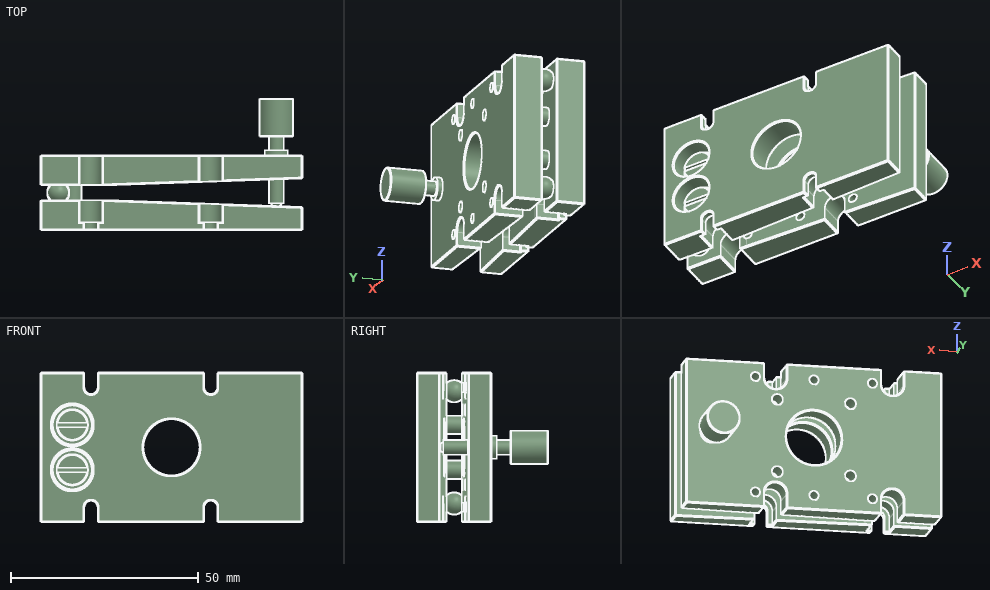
import cadquery as cq


plate_length = 70.0
plate_height = 40.0
plate_thickness = 8.0
plate_gap = 4.0
stack_thickness = 2 * plate_thickness + plate_gap
mid_plane_y = stack_thickness / 2
taper_start_x = 18.5
taper_depth = 1.8
edge_chamfer = 0.3

aperture_x = plate_length / 2
aperture_diameter = 15.0

slot_positions_x = (13.5, 45.5)
slot_center_z = 16.0
slot_width = 3.5
wide_slot_width = 6.0
wide_slot_floor_y = 2.1

clamp_x = 8.5
clamp_offset_z = 6.0
clamp_bore_diameter = 11.0
clamp_bore_depth = 6.0
clamp_head_diameter = 8.4
clamp_head_face_y = 3.1
clamp_shank_diameter = 5.0
clamp_shank_end_y = stack_thickness - plate_thickness / 2
clamp_head_chamfer = 0.25
clamp_flange_diameter = 10.4
clamp_flange_face_y = 5.0
driver_slot_width = 1.2
driver_slot_depth = 1.2

ball_x = 4.75
ball_offset_z = 15.0
ball_diameter = 6.0

adjuster_x = 63.0
adjuster_diameter = 4.0
adjuster_end_y = 7.15
adjuster_ball_diameter = 3.0
adjuster_ball_y = 7.6
collar_diameter = 6.2
collar_height = 1.4
knob_diameter = 9.0
knob_start_y = 25.0
knob_end_y = 35.15
knob_chamfer = 0.25

edge_hole_diameter = 2.5
edge_hole_spacing_x = 16.0
edge_hole_offset_z = 16.0
aperture_hole_diameter = 3.0
aperture_hole_offset = 10.0


def cylinder(x, z, diameter, y_start, y_end):
    """Cylinder along Y between two Y positions."""
    direction = cq.Vector(0, 1, 0)
    start = cq.Vector(x, y_start, z)
    return cq.Workplane(obj=cq.Solid.makeCylinder(diameter / 2, y_end - y_start, start, direction))


def ball(x, y, z, diameter):
    return cq.Workplane().sphere(diameter / 2).translate((x, y, z))


def chamfer_bore_rims(plate, x, z, diameter, y_start, y_end):
    """Chamfer the rims of a bore along Y that lie between two Y positions."""
    reach = diameter / 2
    corner_low = (x - reach, y_start, z - reach)
    corner_high = (x + reach, y_end, z + reach)
    rims = plate.edges(cq.selectors.BoxSelector(corner_low, corner_high)).edges("not(|Y)")
    return rims.chamfer(edge_chamfer)


def edge_slot(x, side, width, y_start, y_end):
    """Round-ended slot open at the upper (side = 1) or lower (side = -1) plate edge."""
    leg_length = plate_height / 2 - slot_center_z
    leg = cq.Workplane().box(width, y_end - y_start, leg_length)
    leg = leg.translate((x, (y_start + y_end) / 2, side * (slot_center_z + leg_length / 2)))
    return leg.union(cylinder(x, side * slot_center_z, width, y_start, y_end))


def tapered_plate():
    """Plate with its outer face on Y = 0 and an inner face that thins toward +X."""
    return (
        cq.Workplane("XY")
        .moveTo(0, 0)
        .lineTo(plate_length, 0)
        .lineTo(plate_length, plate_thickness - taper_depth)
        .lineTo(taper_start_x, plate_thickness)
        .lineTo(0, plate_thickness)
        .close()
        .extrude(plate_height / 2, both=True)
    )


def finish_plate(plate):
    """Chamfer the outline and slot rims of the plate, then bore the aperture and chamfer its rims."""
    plate = plate.faces("<Y or <X or >X or <Z or >Z").edges().chamfer(edge_chamfer)
    plate = plate.cut(cylinder(aperture_x, 0, aperture_diameter, 0, plate_thickness))
    return chamfer_bore_rims(plate, aperture_x, 0, aperture_diameter, -edge_chamfer, plate_thickness)


def front_plate():
    plate = tapered_plate()
    for x in slot_positions_x:
        for side in (-1, 1):
            plate = plate.cut(edge_slot(x, side, slot_width, 0, plate_thickness))
            plate = plate.cut(edge_slot(x, side, wide_slot_width, wide_slot_floor_y, plate_thickness))
    plate = finish_plate(plate)
    for z in (-clamp_offset_z, clamp_offset_z):
        plate = plate.cut(cylinder(clamp_x, z, clamp_bore_diameter, 0, clamp_bore_depth))
        plate = chamfer_bore_rims(plate, clamp_x, z, clamp_bore_diameter, -edge_chamfer, edge_chamfer)
    return plate


def rear_plate():
    plate = tapered_plate()
    for x in slot_positions_x:
        for side in (-1, 1):
            plate = plate.cut(edge_slot(x, side, wide_slot_width, 0, plate_thickness))
    plate = finish_plate(plate)
    plate = plate.mirror("XZ").translate((0, stack_thickness, 0))
    for side in (-1, 1):
        for step in (-1, 0, 1):
            x = aperture_x + step * edge_hole_spacing_x
            z = side * edge_hole_offset_z
            plate = plate.cut(cylinder(x, z, edge_hole_diameter, mid_plane_y, stack_thickness))
        for x in (aperture_x - aperture_hole_offset, aperture_x + aperture_hole_offset):
            z = side * aperture_hole_offset
            plate = plate.cut(cylinder(x, z, aperture_hole_diameter, mid_plane_y, stack_thickness))
    return plate


def clamp_screw(z):
    """Slotted screw whose head sits in the front bore and whose shank enters the rear plate."""
    head = cylinder(clamp_x, z, clamp_head_diameter, clamp_head_face_y, clamp_bore_depth)
    head = head.faces("<Y").edges().chamfer(clamp_head_chamfer)
    flange = cylinder(clamp_x, z, clamp_flange_diameter, clamp_flange_face_y, clamp_bore_depth)
    driver_slot = cq.Workplane().box(clamp_head_diameter, driver_slot_depth, driver_slot_width)
    driver_slot = driver_slot.translate((clamp_x, clamp_head_face_y + driver_slot_depth / 2, z))
    shank = cylinder(clamp_x, z, clamp_shank_diameter, clamp_bore_depth, clamp_shank_end_y)
    return head.cut(driver_slot).union(flange).union(shank)


def adjuster():
    """Knob screw through the rear plate, with its ball tip resting on the front plate."""
    tip = ball(adjuster_x, adjuster_ball_y, 0, adjuster_ball_diameter)
    shaft = cylinder(adjuster_x, 0, adjuster_diameter, adjuster_end_y, knob_start_y)
    collar = cylinder(adjuster_x, 0, collar_diameter, stack_thickness, stack_thickness + collar_height)
    knob = cylinder(adjuster_x, 0, knob_diameter, knob_start_y, knob_end_y)
    knob = knob.faces("<Y or >Y").edges().chamfer(knob_chamfer)
    return tip.union(shaft).union(collar).union(knob)


result = front_plate().union(rear_plate()).union(adjuster())
for side in (-1, 1):
    result = result.union(clamp_screw(side * clamp_offset_z))
    result = result.union(ball(ball_x, mid_plane_y, side * ball_offset_z, ball_diameter))